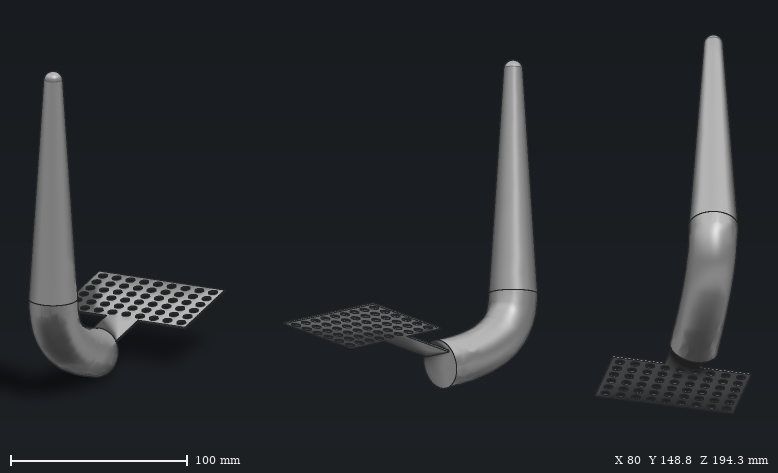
import cadquery as cq
import math

BASE_RADIUS = 14.0
TIP_RADIUS = 5.5
TAPER_HEIGHT = 129.8
DOME_HEIGHT = 4.5

ELBOW_REACH = 53.2
ELBOW_DEPTH = 46.6
BEND_HANDLE = 28.8
ELBOW_DROP_ANGLE = 17.0

PLATE_WIDTH = 80.0
PLATE_LENGTH = 50.0
PLATE_THICKNESS = 1.0
PLATE_RISE_ANGLE = 10.0
STRIP_WIDTH = 20.2
STRIP_LENGTH = 30.9
STRIP_OFFSET = 6.2
TRIM_ALLOWANCE = 3.9

HOLE_DIAMETER = 5.0
HOLE_COLUMNS = 9
HOLE_ROWS = 6
HOLE_MARGIN = 5.0
COLUMN_PITCH = (PLATE_WIDTH - 2 * HOLE_MARGIN) / (HOLE_COLUMNS - 1)
ROW_PITCH = (PLATE_LENGTH - 2 * HOLE_MARGIN) / (HOLE_ROWS - 1)

drop = math.radians(ELBOW_DROP_ANGLE)
elbow_end = (ELBOW_REACH, -ELBOW_DEPTH)


def make_upright():
    """Cone frustum with a domed tip."""
    profile = (
        cq.Workplane("XZ")
        .lineTo(BASE_RADIUS, 0)
        .lineTo(TIP_RADIUS, TAPER_HEIGHT)
    )
    sphere_radius = (TIP_RADIUS**2 + DOME_HEIGHT**2) / (2 * DOME_HEIGHT)
    top = TAPER_HEIGHT + DOME_HEIGHT
    half_angle = math.asin(TIP_RADIUS / sphere_radius) / 2
    dome_middle = (
        sphere_radius * math.sin(half_angle),
        top - sphere_radius * (1 - math.cos(half_angle)),
    )
    return profile.threePointArc(dome_middle, (0, top)).close().revolve(360, (0, 0), (0, 1))


def make_elbow():
    """Solid round bar swept along a smooth curve."""
    start_handle = (0, -BEND_HANDLE)
    end_handle = (
        elbow_end[0] - BEND_HANDLE * math.cos(drop),
        elbow_end[1] + BEND_HANDLE * math.sin(drop),
    )
    path = cq.Workplane("YZ").bezier([(0, 0), start_handle, end_handle, elbow_end])
    return cq.Workplane("XY").circle(BASE_RADIUS).sweep(path)


def make_plate(elbow):
    """Perforated plate on a strip whose root butts against the elbow end face."""
    root = (
        0,
        elbow_end[0] + STRIP_OFFSET * math.sin(drop),
        elbow_end[1] + STRIP_OFFSET * math.cos(drop),
    )
    rise = math.radians(PLATE_RISE_ANGLE)
    plane = cq.Plane(origin=root, xDir=(1, 0, 0), normal=(0, -math.sin(rise), math.cos(rise)))
    sheet = cq.Workplane(plane)

    strip_total = STRIP_LENGTH + TRIM_ALLOWANCE
    strip_centre = STRIP_LENGTH - strip_total / 2
    strip = sheet.center(0, strip_centre).box(STRIP_WIDTH, strip_total, PLATE_THICKNESS)

    plate_centre = STRIP_LENGTH + PLATE_LENGTH / 2
    panel = sheet.center(0, plate_centre).box(PLATE_WIDTH, PLATE_LENGTH, PLATE_THICKNESS)
    holes = (
        sheet.center(0, plate_centre)
        .rarray(COLUMN_PITCH, ROW_PITCH, HOLE_COLUMNS, HOLE_ROWS)
        .circle(HOLE_DIAMETER / 2)
        .extrude(PLATE_THICKNESS, both=True)
    )
    return panel.union(strip).cut(holes).cut(elbow)


upright = make_upright()
elbow = make_elbow()
plate = make_plate(elbow)

result = cq.Compound.makeCompound([upright.val(), elbow.val(), *plate.solids().vals()])